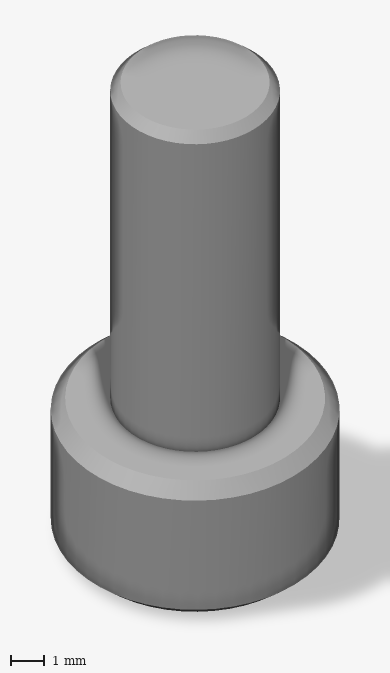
import cadquery as cq

total_length = 17.0
head_diameter = 8.5
head_height = 5.0
head_chamfer = 0.42
shank_diameter = 5.0
tip_chamfer = 0.3

shank_length = total_length - head_height

head = (
    cq.Workplane("XY")
    .circle(head_diameter / 2)
    .extrude(head_height)
    .edges("%CIRCLE")
    .chamfer(head_chamfer)
)

shank = (
    cq.Workplane("XY")
    .workplane(offset=head_height)
    .circle(shank_diameter / 2)
    .extrude(shank_length)
    .faces(">Z")
    .edges()
    .chamfer(tip_chamfer)
)

result = head.union(shank)